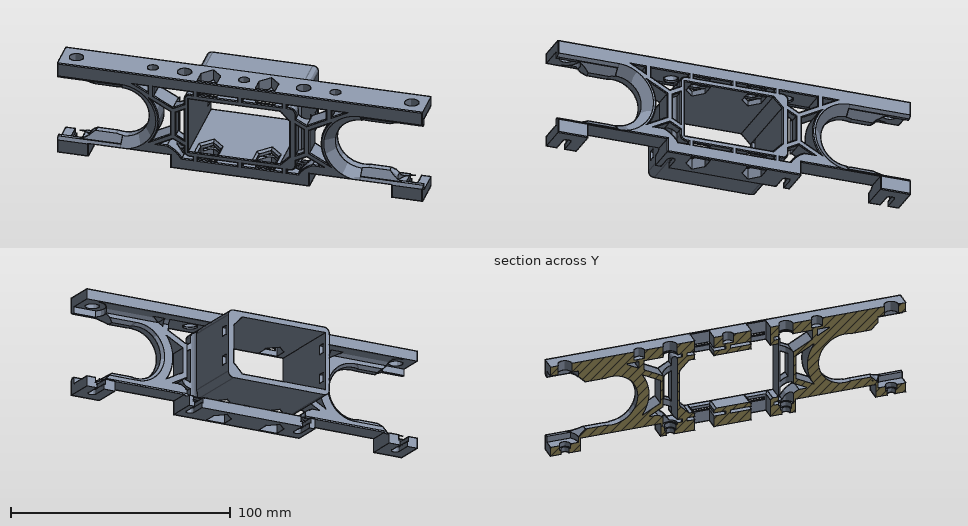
import cadquery as cq
import math

LENGTH = 172.0
HEIGHT = 47.0
BACK = 40.0
HALF_LENGTH = LENGTH / 2
HALF_HEIGHT = HEIGHT / 2
FRONT_BEVEL = 0.43

RAIL_DEPTH = 15.1
RAIL_FACE = 18.5
OPENING_LIMIT = 17.7
OPENING_END = 52.0
PLATE_DEPTH = 9.6
GUSSET_HEIGHT = 2.8
GUSSET_DEPTH = 4.8

BLOCK_HALF = 32.7
FOOT_START = 71.4
NOTCH_TOP = -16.9

SLEEVE_HALF_X = 26.3
SLEEVE_HALF_Z = 16.3
SLEEVE_ROUND = 2.8
WINDOW_LEFT = -24.3
WINDOW_RIGHT = 23.4
WINDOW_HALF_Z = 13.8
CORNER_X = 4.5
CORNER_Z = 4.6
POST_WIDTH = 2.4
POST_SPACING = 21.0

LATCH_Y = 36.1
LATCH_SPACING = 14.0
LATCH_WIDTH = 3.3
LATCH_HEIGHT = 4.3

CRADLE_X = 56.5
THROAT = 12.5
MOUTH = 16.9
THROAT_BACK = 8.3
FLARE = 1.4
RING_RADIUS = 18.2
LIP_HEIGHT = 15.5
LIP_DEPTH = 3.0
RECESS = 0.5
SIDE_THROAT = 12.2

NODE_X = 31.5
NODE_Z = 6.7
STRUT = 2.8
UPRIGHT_X = 42.0
STRUT_ANGLE = 28.0
STRUT_SLOPE = math.tan(math.radians(STRUT_ANGLE))
SHELF_Z = -11.9
SHELF_GAP = 1.0
SHELF_BULGE = 0.5

HOLE_Y = 7.5
END_HOLE_X = 79.0
MID_HOLE_X = 28.0
SCREW_RADIUS = 3.3
PIN_X = 43.0
PIN_DIAMETER = 5.0
PIN_DEPTH = 4.3
END_POCKET_RADIUS = 6.4
END_POCKET_FLARE = 15.7
MID_POCKET_RADIUS = 3.5
SLOT_WIDTH = 3.8
SLOT_ENTRY_WIDTH = 5.2
SLOT_ENTRY_DEPTH = 2.4

STRAP_CENTRES = (-15.8, 11.5)
STRAP_WIDTH = 9.3
STRAP_FRONT = 1.5
STRAP_SHOULDER = 8.0
STRAP_BEVEL = 1.0


def block(x0, x1, y0, y1, z0, z1):
    """Box given by its limits along each axis."""
    return cq.Workplane("XY").box(x1 - x0, y1 - y0, z1 - z0, centered=False).translate((x0, y0, z0))


def front_prism(points, depth):
    """Polygon in X and Z, extruded from the front face towards the back."""
    return cq.Workplane("XZ").polyline(points).close().extrude(-depth)


def upright_cylinder(x, y, radius, z0, z1):
    return cq.Workplane("XY", origin=(x, y, z0)).circle(radius).extrude(z1 - z0)


def bevel_front(shape):
    """Bevel every edge of the front face."""
    return shape.faces("<Y").edges().chamfer(FRONT_BEVEL)


def both_sides(shape):
    """A +X shape together with its mirror image."""
    return shape.union(shape.mirror("YZ"))


def strut(x0, z0, x1, z1, width=STRUT):
    """Straight lattice bar between two points of the front face."""
    run = math.hypot(x1 - x0, z1 - z0)
    angle = math.degrees(math.atan2(z1 - z0, x1 - x0))
    bar = block(0, run, 0, RAIL_DEPTH, -width / 2, width / 2)
    bar = bar.faces("<Y").edges("|X").chamfer(FRONT_BEVEL)
    return bar.rotate((0, 0, 0), (0, 1, 0), -angle).translate((x0, 0, z0))


def solid_blank():
    """Plate, rails and gussets before any opening is cut."""
    blank = block(-HALF_LENGTH, HALF_LENGTH, 0, PLATE_DEPTH, -HALF_HEIGHT, HALF_HEIGHT)
    rail = (
        cq.Workplane("YZ")
        .moveTo(PLATE_DEPTH, HALF_HEIGHT)
        .lineTo(RAIL_DEPTH, HALF_HEIGHT)
        .lineTo(RAIL_DEPTH, RAIL_FACE)
        .lineTo(PLATE_DEPTH + GUSSET_DEPTH, RAIL_FACE)
        .tangentArcPoint((PLATE_DEPTH, RAIL_FACE - GUSSET_HEIGHT), relative=False)
        .close()
        .extrude(HALF_LENGTH, both=True)
    )
    blank = blank.union(rail).union(rail.mirror("XY"))
    notch = block(BLOCK_HALF, FOOT_START, 0, RAIL_DEPTH, -HALF_HEIGHT, NOTCH_TOP)
    return bevel_front(blank.cut(both_sides(notch)))


def sleeve_outline(depth):
    outline = block(-SLEEVE_HALF_X, SLEEVE_HALF_X, 0, depth, -SLEEVE_HALF_Z, SLEEVE_HALF_Z)
    return bevel_front(outline.edges("|Y").fillet(SLEEVE_ROUND))


def flared_mouth():
    """Bevelled front rim of the lattice area along both rails."""
    rim = OPENING_LIMIT + FRONT_BEVEL
    profile = [(0, -rim), (0, rim), (FRONT_BEVEL, OPENING_LIMIT), (FRONT_BEVEL, -OPENING_LIMIT)]
    return cq.Workplane("YZ").polyline(profile).close().extrude(OPENING_END)


def lattice_openings():
    """Everything removed from the plate between the cradles, around sleeve and struts."""
    area = block(0, OPENING_END, 0, RAIL_DEPTH, -OPENING_LIMIT, OPENING_LIMIT)
    area = area.union(flared_mouth())
    ring = cq.Workplane("XZ").center(CRADLE_X, 0).circle(RING_RADIUS).extrude(-RAIL_DEPTH)
    area = area.cut(bevel_front(ring))

    strut_end = SLEEVE_HALF_X - STRUT
    inner_z = NODE_Z + (NODE_X - strut_end) * STRUT_SLOPE
    outer_z = NODE_Z + (CRADLE_X - NODE_X) * STRUT_SLOPE
    area = area.cut(strut(NODE_X, -NODE_Z, NODE_X, NODE_Z))
    upright_foot = NODE_Z + (UPRIGHT_X - NODE_X) * STRUT_SLOPE
    area = area.cut(strut(UPRIGHT_X, upright_foot, UPRIGHT_X, HALF_HEIGHT))
    for side in (-1, 1):
        area = area.cut(strut(NODE_X, side * NODE_Z, strut_end, side * inner_z))
        area = area.cut(strut(NODE_X, side * NODE_Z, CRADLE_X, side * outer_z))

    shelf_end = SLEEVE_HALF_X + SHELF_GAP
    shelf_start = NODE_X + STRUT
    shelf_middle = (
        (shelf_start + shelf_end) / 2 - SHELF_BULGE,
        (SHELF_Z - OPENING_LIMIT) / 2 + SHELF_BULGE,
    )
    shelf = (
        cq.Workplane("XZ")
        .moveTo(CRADLE_X, SHELF_Z)
        .lineTo(shelf_start, SHELF_Z)
        .threePointArc(shelf_middle, (shelf_end, -OPENING_LIMIT))
        .lineTo(shelf_end, -HALF_HEIGHT)
        .lineTo(CRADLE_X, -HALF_HEIGHT)
        .close()
        .extrude(-RAIL_DEPTH)
    )
    openings = both_sides(area.cut(bevel_front(shelf))).cut(sleeve_outline(RAIL_DEPTH))
    for x in (-POST_SPACING, 0, POST_SPACING):
        openings = openings.cut(strut(x, -HALF_HEIGHT, x, HALF_HEIGHT, POST_WIDTH))
    return openings


def sleeve_window():
    points = [
        (WINDOW_LEFT, -WINDOW_HALF_Z),
        (WINDOW_RIGHT - CORNER_X, -WINDOW_HALF_Z),
        (WINDOW_RIGHT, CORNER_Z - WINDOW_HALF_Z),
        (WINDOW_RIGHT, WINDOW_HALF_Z - CORNER_Z),
        (WINDOW_RIGHT - CORNER_X, WINDOW_HALF_Z),
        (WINDOW_LEFT, WINDOW_HALF_Z),
    ]
    window = front_prism(points, BACK)
    rim = cq.Workplane("XZ").polyline(points).close().offset2D(FRONT_BEVEL, "intersection")
    return window.union(rim.extrude(-FRONT_BEVEL, taper=45))


def cradle_cut():
    """Conical round end and recessed straight sides of the +X cradle."""
    slope = MOUTH - THROAT
    rear = [(THROAT + FLARE, THROAT_BACK + FLARE), (THROAT + FLARE, RAIL_DEPTH)]
    cone = [(MOUTH, 0), (THROAT, slope), (THROAT, THROAT_BACK)] + rear
    round_end = (
        cq.Workplane("XY")
        .polyline([(0, 0)] + cone + [(0, RAIL_DEPTH)])
        .close()
        .revolve(360, (0, 0, 0), (0, 1, 0))
        .translate((CRADLE_X, 0, 0))
    )
    lip_start = MOUTH - LIP_HEIGHT
    side_back = MOUTH - SIDE_THROAT + RECESS
    side = [
        (MOUTH, 0),
        (LIP_HEIGHT, lip_start),
        (LIP_HEIGHT, lip_start + RECESS),
        (SIDE_THROAT, side_back),
        (SIDE_THROAT, THROAT_BACK),
    ] + rear
    loop = [(y, z) for z, y in side] + [(y, -z) for z, y in reversed(side)]
    straight = (
        cq.Workplane("YZ", origin=(CRADLE_X, 0, 0)).polyline(loop).close().extrude(HALF_LENGTH - CRADLE_X)
    )
    return round_end.union(straight)


def end_pocket():
    """Screw-head space between the rails at the +X end, leaving a lip at the front."""
    waist = END_POCKET_RADIUS + END_POCKET_FLARE - SIDE_THROAT
    profile = [
        (0, -RAIL_FACE),
        (END_POCKET_RADIUS, -RAIL_FACE),
        (END_POCKET_RADIUS, -END_POCKET_FLARE),
        (waist, -SIDE_THROAT),
        (waist, SIDE_THROAT),
        (END_POCKET_RADIUS, END_POCKET_FLARE),
        (END_POCKET_RADIUS, RAIL_FACE),
        (0, RAIL_FACE),
    ]
    bore = cq.Workplane("XZ").polyline(profile).close().revolve(360, (0, 0, 0), (0, 1, 0))
    bore = bore.translate((END_HOLE_X, HOLE_Y, 0))
    space = bore.union(block(END_HOLE_X, HALF_LENGTH, 0, RAIL_DEPTH, -RAIL_FACE, RAIL_FACE))
    lip = block(0, LENGTH, -LENGTH, LIP_DEPTH, LIP_HEIGHT, HALF_HEIGHT)
    return space.cut(lip).cut(lip.mirror("XY"))


def screw_slot(x, width, z0, z1):
    """Slot with a round front end, open towards the back."""
    channel = block(x - width / 2, x + width / 2, HOLE_Y, RAIL_DEPTH, z0, z1)
    return channel.union(upright_cylinder(x, HOLE_Y, width / 2, z0, z1))


def vertical_holes():
    holes = cq.Workplane("XY")
    pin_floor = HALF_HEIGHT - PIN_DEPTH
    for x in (-PIN_X, 0, PIN_X):
        holes = holes.union(upright_cylinder(x, HOLE_Y, PIN_DIAMETER / 2, pin_floor, HALF_HEIGHT))
    entry_floor = -RAIL_FACE - SLOT_ENTRY_DEPTH
    for x in (-END_HOLE_X, -MID_HOLE_X, MID_HOLE_X, END_HOLE_X):
        holes = holes.union(upright_cylinder(x, HOLE_Y, SCREW_RADIUS, RAIL_FACE, HALF_HEIGHT))
        holes = holes.union(screw_slot(x, SLOT_WIDTH, -HALF_HEIGHT, -RAIL_FACE))
        holes = holes.union(screw_slot(x, SLOT_ENTRY_WIDTH, entry_floor, -RAIL_FACE))
    for x in (-MID_HOLE_X, MID_HOLE_X):
        holes = holes.union(upright_cylinder(x, HOLE_Y, MID_POCKET_RADIUS, -RAIL_FACE, RAIL_FACE))
    return holes


def strap_hole(x):
    half = STRAP_WIDTH / 2
    points = [
        (x - half, STRAP_FRONT),
        (x + half, STRAP_FRONT),
        (x + half, STRAP_SHOULDER),
        (x, STRAP_SHOULDER + half),
        (x - half, STRAP_SHOULDER),
    ]
    hole = cq.Workplane("XY").polyline(points).close().extrude(HALF_HEIGHT, both=True)
    floor = cq.Workplane("XY", origin=(0, 0, -WINDOW_HALF_Z)).polyline(points).close()
    rim = floor.offset2D(STRAP_BEVEL, "intersection").extrude(-STRAP_BEVEL, taper=45)
    return hole.union(rim)


def latch_windows():
    centres = [(LATCH_Y, -LATCH_SPACING / 2), (LATCH_Y, LATCH_SPACING / 2)]
    plane = cq.Workplane("YZ").pushPoints(centres)
    return plane.rect(LATCH_WIDTH, LATCH_HEIGHT).extrude(SLEEVE_HALF_X, both=True)


body = solid_blank().cut(lattice_openings()).union(sleeve_outline(BACK)).cut(sleeve_window())
body = body.cut(both_sides(cradle_cut())).cut(both_sides(end_pocket()))
body = body.cut(vertical_holes()).cut(latch_windows())
for centre in STRAP_CENTRES:
    body = body.cut(strap_hole(centre))
result = body.solids()